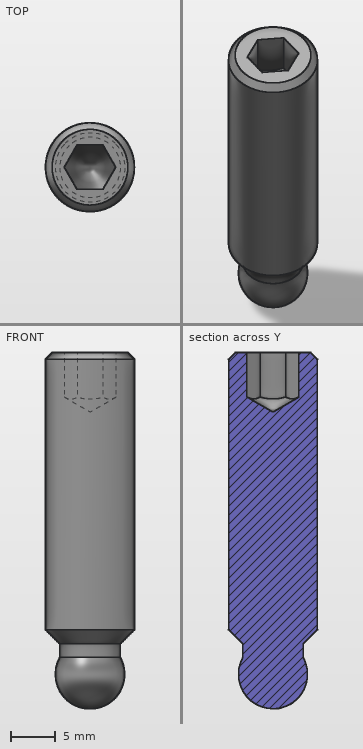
import cadquery as cq
import math

overall_length = 40.0
body_radius = 5.0
top_chamfer = 0.75

ball_radius = 3.9
neck_radius = 3.4
shoulder_top = 8.9

hexagon_sides = 6
socket_across_flats = 5.0
socket_depth = 5.0
floor_cone_angle = 120.0

ball_center = ball_radius
neck_bottom = ball_center + math.sqrt(ball_radius**2 - neck_radius**2)
shoulder_bottom = shoulder_top - (body_radius - neck_radius)
socket_floor = overall_length - socket_depth
socket_across_corners = socket_across_flats / math.cos(math.pi / hexagon_sides)


def make_screw_body():
    """Revolve the half profile of the ball, neck, shoulder and shank about Z."""
    profile = (
        cq.Workplane("XZ")
        .moveTo(0, 0)
        .threePointArc((ball_radius, ball_center), (neck_radius, neck_bottom))
        .lineTo(neck_radius, shoulder_bottom)
        .lineTo(body_radius, shoulder_top)
        .lineTo(body_radius, overall_length - top_chamfer)
        .lineTo(body_radius - top_chamfer, overall_length)
        .lineTo(0, overall_length)
        .close()
    )
    return profile.revolve(360, (0, 0, 0), (0, 1, 0))


def make_socket():
    """Hexagonal prism with corners on X, trimmed below by a cone reaching its corners."""
    corner_radius = socket_across_corners / 2
    cone_depth = corner_radius / math.tan(math.radians(floor_cone_angle / 2))
    cone_tip = socket_floor - cone_depth
    prism = (
        cq.Workplane("XY", origin=(0, 0, cone_tip))
        .polygon(hexagon_sides, socket_across_corners)
        .extrude(overall_length - cone_tip)
    )
    pointed_cylinder = (
        cq.Workplane("XZ")
        .moveTo(0, cone_tip)
        .lineTo(body_radius, cone_tip + cone_depth * body_radius / corner_radius)
        .lineTo(body_radius, overall_length)
        .lineTo(0, overall_length)
        .close()
        .revolve(360, (0, 0, 0), (0, 1, 0))
    )
    return prism.intersect(pointed_cylinder)


result = make_screw_body().cut(make_socket())